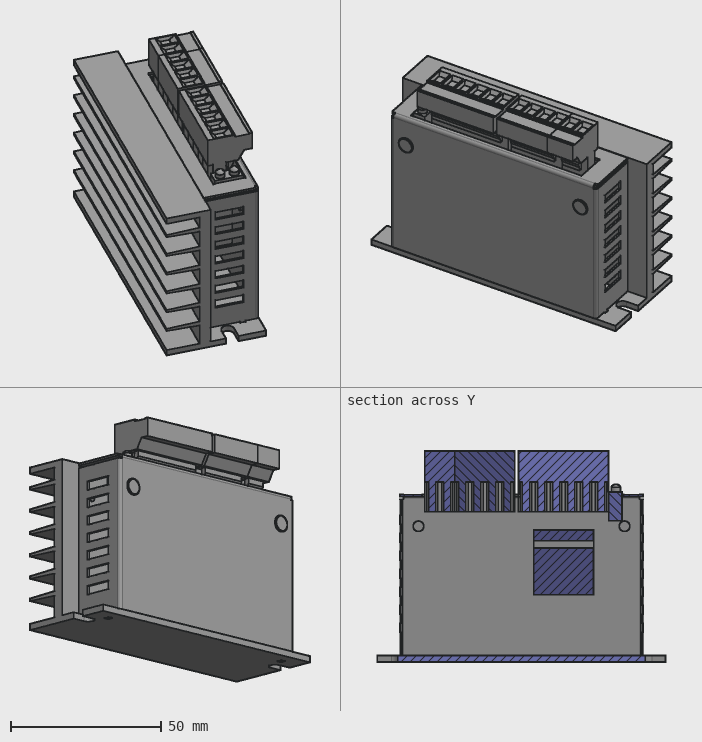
import cadquery as cq

WIDTH = 96.0
SINK_HEIGHT = 56.0
RAIL_THICKNESS = 2.2
PLATE_FRONT_Y = 11.6
PLATE_BACK_Y = 15.5
FIN_COUNT = 6
FIRST_FIN_Z = 10.45
FIN_PITCH = 7.67
FIN_ROOT = 1.65
FIN_TIP = 0.9
HOLE_DIAMETER = 2.5
HOLE_X = 34.3
LOWER_HOLE_Z = 6.8
UPPER_HOLE_Z = 45.2
FLANGE_BACK_Y = 35.0
SLOT_WIDTH = 4.4
SLOT_Y = 23.1
SLOT_LENGTH = 6.85

COVER_WIDTH = 81.0
COVER_BACK_Y = 35.15
SHEET = 0.8
BEND = 1.2
COVER_TOP_Z = 55.8
SIDE_TOP_Z = 54.2
VENT_COUNT = 7
VENT_PITCH = 6.0
FIRST_VENT_Z = 11.4
VENT_HEIGHT = 3.0
VENT_FRONT_Y = 19.7
VENT_BACK_Y = 29.6
WINDOW_LEFT, WINDOW_RIGHT = -33.1, 34.0
WINDOW_FRONT_Y, WINDOW_BACK_Y = 21.1, 32.6

TAB_Y = 29.3
TAB_LENGTH = 1.9
TAB_SLOT_CLEARANCE = 0.5

SHANK_RADIUS = 1.75
HEAD_RADIUS = 2.8
HEAD_HEIGHT = 0.5
HEAD_EDGE = 0.25
SHANK_END_Y = 30.1

PITCH = 5.0
LEFT_GROUP_X = -32.2
RIGHT_GROUP_X = -1.0
LEFT_GROUP_WAYS = (2, 4)
RIGHT_GROUP_WAYS = 6
CONNECTOR_TOP_Z = 70.3
CONNECTOR_BACK_Y = 36.6
PLUG_FRONT_Y = 20.95
PLUG_BOTTOM_Z = 59.85
LEDGE_Z = 69.6
LEDGE_Y = 30.5
LIP_Z = 69.85
LIP_Y = 35.5
NOSE_BOTTOM_Z = 63.45
NOSE_Y = 33.75
PLUG_BOTTOM_BACK_Y = 31.6
STEM_FRONT_Y, STEM_BACK_Y = 22.8, 27.4
STEM_BOTTOM_Z = 50.0
RIB_WIDTH = 3.8
RIB_FRONT_Y = 21.9
LATCH_INSET = 1.6
LATCH_FRONT_Y, LATCH_BACK_Y = 28.7, 30.5
LATCH_BOTTOM_Z = 55.4
LATCH_TAPER = 0.6
LATCH_TAPER_TOP_Z = 58.0
LATCH_TAPER_END_Z = 56.7
FUNNEL_WIDTH, FUNNEL_LENGTH = 4.2, 6.8
FUNNEL_FLOOR_WIDTH, FUNNEL_FLOOR_LENGTH = 2.9, 3.2
FUNNEL_DEPTH = 1.15
FUNNEL_Y = 26.5
FUNNEL_FLOOR_Y = 26.2

BLOCK_RIGHT_X = 33.5
BLOCK_FRONT_Y, BLOCK_BACK_Y = 21.9, 31.8
BLOCK_BOTTOM_Z, BLOCK_TOP_Z = 47.0, 56.6
LAMP_X = 31.4
LAMP_Y = (24.4, 29.4)
LAMP_RADIUS = 1.6
LAMP_SHOULDER_Z = 58.1
LAMP_TOP_Z = 59.2

MODULE_X, MODULE_WIDTH = 4.0, 20.0
MODULE_BACK_Y = 31.2
MODULE_BASE_Y = 21.6
MODULE_BASE_BOTTOM_Z, MODULE_TOP_Z = 20.0, 44.0
BRIDGE_BOTTOM_Z = 40.3
HANGER_FRONT_Y = 22.2
HANGER_BOTTOM_Z, HANGER_TOP_Z = 22.4, 38.0
SPINE_FRONT_Y = 29.9


def block(x0, x1, y0, y1, z0, z1):
    """Axis-aligned box between two corners."""
    return cq.Workplane("XY").box(x1 - x0, y1 - y0, z1 - z0, centered=False).translate((x0, y0, z0))


def profile_along_x(points, x_start, length):
    """Closed (y, z) outline extruded in +X."""
    return cq.Workplane("YZ", origin=(x_start, 0, 0)).polyline(points).close().extrude(length)


def rod_along_y(x, z, radius, y0, y1):
    """Cylinder running in +Y from y0 to y1."""
    return cq.Workplane("XZ", origin=(x, y0, z)).circle(radius).extrude(y0 - y1)


def make_heatsink():
    half = WIDTH / 2
    sink = block(-half, half, PLATE_FRONT_Y, PLATE_BACK_Y, 0, SINK_HEIGHT)
    sink = sink.union(block(-half, half, 0, FLANGE_BACK_Y, 0, RAIL_THICKNESS))
    sink = sink.union(block(-half, half, 0, PLATE_BACK_Y, SINK_HEIGHT - RAIL_THICKNESS, SINK_HEIGHT))
    for i in range(FIN_COUNT):
        z = FIRST_FIN_Z + i * FIN_PITCH
        fin = [
            (0, z - FIN_TIP / 2),
            (PLATE_FRONT_Y, z - FIN_ROOT / 2),
            (PLATE_FRONT_Y, z + FIN_ROOT / 2),
            (0, z + FIN_TIP / 2),
        ]
        sink = sink.union(profile_along_x(fin, -half, WIDTH))
    for side in (-1, 1):
        for z in (LOWER_HOLE_Z, UPPER_HOLE_Z):
            sink = sink.cut(rod_along_y(side * HOLE_X, z, HOLE_DIAMETER / 2, PLATE_FRONT_Y, PLATE_BACK_Y))
        mounting_slot = (
            cq.Workplane("XY")
            .center(side * half, SLOT_Y)
            .slot2D(2 * SLOT_LENGTH, SLOT_WIDTH)
            .extrude(RAIL_THICKNESS)
        )
        sink = sink.cut(mounting_slot)
        slot_x = side * (COVER_WIDTH - SHEET) / 2
        slot_half = SHEET / 2 + TAB_SLOT_CLEARANCE
        tab_slot = block(
            slot_x - slot_half, slot_x + slot_half,
            TAB_Y - TAB_LENGTH / 2, TAB_Y + TAB_LENGTH / 2,
            0, RAIL_THICKNESS,
        )
        sink = sink.cut(tab_slot)
    return sink


def make_cover():
    half = COVER_WIDTH / 2
    bend_y = COVER_BACK_Y - BEND
    inner_back_y = COVER_BACK_Y - SHEET
    outer = block(-half, half, PLATE_BACK_Y, COVER_BACK_Y, RAIL_THICKNESS, SIDE_TOP_Z)
    outer = outer.edges("|Z and >Y").fillet(BEND)
    inner = block(SHEET - half, half - SHEET, PLATE_BACK_Y, inner_back_y, RAIL_THICKNESS, SIDE_TOP_Z)
    inner = inner.edges("|Z and >Y").fillet(BEND - SHEET)
    cover = outer.cut(inner)
    top_half = half - BEND
    top = block(-top_half, top_half, PLATE_BACK_Y, COVER_BACK_Y, SIDE_TOP_Z - SHEET, COVER_TOP_Z)
    top = top.edges("|X and >Y and >Z").fillet(BEND)
    under_top = block(
        -top_half, top_half, PLATE_BACK_Y, inner_back_y, SIDE_TOP_Z - SHEET, COVER_TOP_Z - SHEET
    )
    under_top = under_top.edges("|X and >Y and >Z").fillet(BEND - SHEET)
    cover = cover.union(top.cut(under_top))
    cover = cover.union(block(-half, half, PLATE_BACK_Y, bend_y, COVER_TOP_Z - SHEET, COVER_TOP_Z))
    window = block(
        WINDOW_LEFT, WINDOW_RIGHT, WINDOW_FRONT_Y, WINDOW_BACK_Y, COVER_TOP_Z - SHEET, COVER_TOP_Z
    )
    cover = cover.cut(window)
    for i in range(VENT_COUNT):
        z = FIRST_VENT_Z + i * VENT_PITCH
        z0, z1 = z - VENT_HEIGHT / 2, z + VENT_HEIGHT / 2
        cover = cover.cut(block(-half, half, VENT_FRONT_Y, VENT_BACK_Y, z0, z1))
    for side in (-1, 1):
        cover = cover.cut(rod_along_y(side * HOLE_X, UPPER_HOLE_Z, SHANK_RADIUS, inner_back_y, COVER_BACK_Y))
        tab_x = side * (COVER_WIDTH - SHEET) / 2
        tab = block(
            tab_x - SHEET / 2, tab_x + SHEET / 2,
            TAB_Y - TAB_LENGTH / 2, TAB_Y + TAB_LENGTH / 2,
            0, RAIL_THICKNESS,
        )
        cover = cover.union(tab)
    return cover


def make_screw(x):
    """Pan head screw through the back of the cover."""
    half_profile = (
        cq.Workplane("XY")
        .moveTo(0, SHANK_END_Y)
        .lineTo(SHANK_RADIUS, SHANK_END_Y)
        .lineTo(SHANK_RADIUS, COVER_BACK_Y)
        .lineTo(HEAD_RADIUS, COVER_BACK_Y)
        .lineTo(HEAD_RADIUS, COVER_BACK_Y + HEAD_EDGE)
        .lineTo(HEAD_RADIUS - (HEAD_HEIGHT - HEAD_EDGE), COVER_BACK_Y + HEAD_HEIGHT)
        .lineTo(0, COVER_BACK_Y + HEAD_HEIGHT)
        .close()
    )
    return half_profile.revolve(360, (0, 0, 0), (0, 1, 0)).translate((x, 0, UPPER_HOLE_Z))


def make_connector(x_start, ways):
    """Terminal connector with one wire funnel and one front rib for each way."""
    length = ways * PITCH
    plug = [
        (PLUG_FRONT_Y, PLUG_BOTTOM_Z),
        (PLUG_BOTTOM_BACK_Y, PLUG_BOTTOM_Z),
        (NOSE_Y, NOSE_BOTTOM_Z),
        (CONNECTOR_BACK_Y, NOSE_BOTTOM_Z),
        (CONNECTOR_BACK_Y, LIP_Z),
        (LIP_Y, LIP_Z),
        (LIP_Y, LEDGE_Z),
        (LEDGE_Y, LEDGE_Z),
        (LEDGE_Y, CONNECTOR_TOP_Z),
        (PLUG_FRONT_Y, CONNECTOR_TOP_Z),
    ]
    connector = profile_along_x(plug, x_start, length)
    stem = block(x_start, x_start + length, STEM_FRONT_Y, STEM_BACK_Y, STEM_BOTTOM_Z, PLUG_BOTTOM_Z)
    connector = connector.union(stem)
    latch = [
        (LATCH_FRONT_Y, PLUG_BOTTOM_Z),
        (LATCH_FRONT_Y, LATCH_BOTTOM_Z),
        (LATCH_BACK_Y - LATCH_TAPER, LATCH_BOTTOM_Z),
        (LATCH_BACK_Y - LATCH_TAPER, LATCH_TAPER_END_Z),
        (LATCH_BACK_Y, LATCH_TAPER_TOP_Z),
        (LATCH_BACK_Y, PLUG_BOTTOM_Z),
    ]
    connector = connector.union(profile_along_x(latch, x_start + LATCH_INSET, length - 2 * LATCH_INSET))
    for i in range(ways):
        x = x_start + (i + 0.5) * PITCH
        rib = (
            cq.Workplane("XY", origin=(0, 0, STEM_BOTTOM_Z))
            .moveTo(x - RIB_WIDTH / 2, STEM_FRONT_Y)
            .threePointArc((x, RIB_FRONT_Y), (x + RIB_WIDTH / 2, STEM_FRONT_Y))
            .close()
            .extrude(PLUG_BOTTOM_Z - STEM_BOTTOM_Z)
        )
        funnel = (
            cq.Workplane("XY", origin=(x, FUNNEL_Y, CONNECTOR_TOP_Z))
            .rect(FUNNEL_WIDTH, FUNNEL_LENGTH)
            .workplane(offset=-FUNNEL_DEPTH)
            .center(0, FUNNEL_FLOOR_Y - FUNNEL_Y)
            .rect(FUNNEL_FLOOR_WIDTH, FUNNEL_FLOOR_LENGTH)
            .loft(ruled=True)
        )
        connector = connector.union(rib).cut(funnel)
    return connector


def make_indicator(left_x):
    """Indicator block beside the connectors, with two domed lamps on top."""
    indicator = block(left_x, BLOCK_RIGHT_X, BLOCK_FRONT_Y, BLOCK_BACK_Y, BLOCK_BOTTOM_Z, BLOCK_TOP_Z)
    dome_rise = LAMP_TOP_Z - LAMP_SHOULDER_Z
    dome_radius = (LAMP_RADIUS ** 2 + dome_rise ** 2) / (2 * dome_rise)
    dome_middle_x = LAMP_RADIUS / 2
    dome_middle_z = LAMP_TOP_Z - dome_radius + (dome_radius ** 2 - dome_middle_x ** 2) ** 0.5
    lamp = (
        cq.Workplane("XZ")
        .moveTo(0, BLOCK_TOP_Z)
        .lineTo(LAMP_RADIUS, BLOCK_TOP_Z)
        .lineTo(LAMP_RADIUS, LAMP_SHOULDER_Z)
        .threePointArc((dome_middle_x, dome_middle_z), (0, LAMP_TOP_Z))
        .close()
        .revolve(360, (0, 0, 0), (0, 1, 0))
    )
    for y in LAMP_Y:
        indicator = indicator.union(lamp.translate((LAMP_X, y, 0)))
    return indicator


def make_power_module():
    """Base block on the plate, with a bridge and a spine that carry a hanging block."""
    outline = [
        (PLATE_BACK_Y, MODULE_BASE_BOTTOM_Z),
        (MODULE_BASE_Y, MODULE_BASE_BOTTOM_Z),
        (MODULE_BASE_Y, BRIDGE_BOTTOM_Z),
        (SPINE_FRONT_Y, BRIDGE_BOTTOM_Z),
        (SPINE_FRONT_Y, HANGER_TOP_Z),
        (HANGER_FRONT_Y, HANGER_TOP_Z),
        (HANGER_FRONT_Y, HANGER_BOTTOM_Z),
        (MODULE_BACK_Y, HANGER_BOTTOM_Z),
        (MODULE_BACK_Y, MODULE_TOP_Z),
        (PLATE_BACK_Y, MODULE_TOP_Z),
    ]
    return profile_along_x(outline, MODULE_X, MODULE_WIDTH)


heatsink = make_heatsink()
cover = make_cover()
screws = [make_screw(side * HOLE_X) for side in (-1, 1)]
first_ways, second_ways = LEFT_GROUP_WAYS
connector_layout = [
    (LEFT_GROUP_X, first_ways),
    (LEFT_GROUP_X + first_ways * PITCH, second_ways),
    (RIGHT_GROUP_X, RIGHT_GROUP_WAYS),
]
connectors = [make_connector(x_start, ways) for x_start, ways in connector_layout]
indicator = make_indicator(RIGHT_GROUP_X + RIGHT_GROUP_WAYS * PITCH)
power_module = make_power_module()

bodies = [heatsink, cover, *screws, *connectors, indicator, power_module]
result = cq.Compound.makeCompound([body.solids().val() for body in bodies])